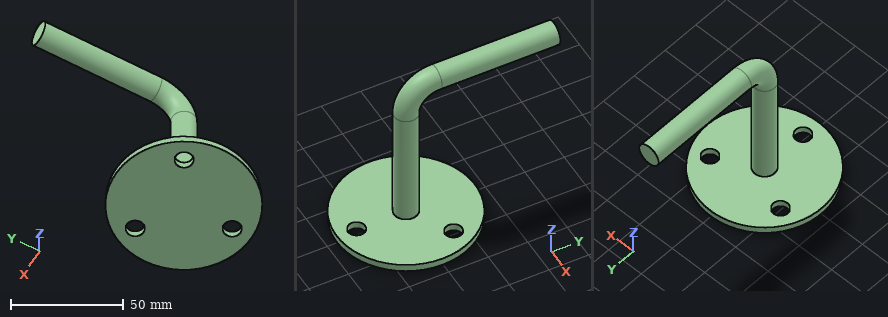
import cadquery as cq

overall_length = 110.0
overall_height = 86.0

flange_diameter = 70.0
flange_thickness = 4.0

hole_count = 3
hole_diameter = 8.5
hole_circle_radius = 25.0
first_hole_angle = -90.0

rod_diameter = 12.0
bend_radius = 15.0
rod_tip_y = overall_length - flange_diameter / 2
arm_height = overall_height - rod_diameter / 2


def make_flange():
    """Disc with evenly spaced screw holes."""
    disc = cq.Workplane("XY").circle(flange_diameter / 2).extrude(flange_thickness)
    holes = (
        cq.Workplane("XY")
        .polarArray(hole_circle_radius, first_hole_angle, 360, hole_count)
        .circle(hole_diameter / 2)
        .extrude(flange_thickness)
    )
    return disc.cut(holes)


def make_rod():
    """Round bar swept along a post, a quarter bend and a horizontal arm."""
    centreline = (
        cq.Workplane("YZ")
        .lineTo(0, arm_height - bend_radius)
        .tangentArcPoint((bend_radius, arm_height), relative=False)
        .lineTo(rod_tip_y, arm_height)
    )
    return cq.Workplane("XY").circle(rod_diameter / 2).sweep(centreline)


result = make_flange().union(make_rod())